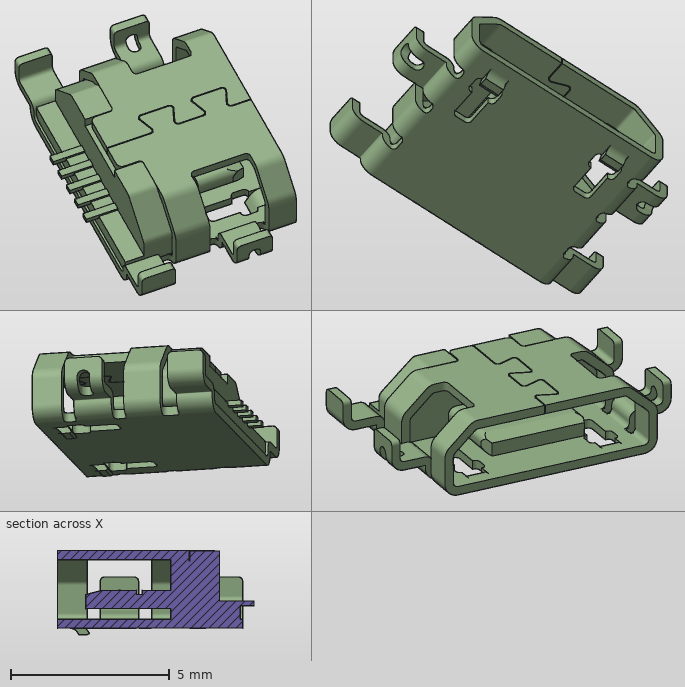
import cadquery as cq
import math


SHEET = 0.3
SHELL_LENGTH = 5.84
SHELL_HALF_WIDTH = 3.76
SHELL_HEIGHT = 2.46
SHOULDER_Z = 1.56
ROOF_HALF_WIDTH = 2.76
UPPER_BEND = 0.46
LOWER_BEND = 0.47
FLOOR_HALF_WIDTH = SHELL_HALF_WIDTH - LOWER_BEND
INNER_HALF_WIDTH = SHELL_HALF_WIDTH - SHEET
CORNER = 0.15

BAND_REAR = 1.69
WINDOW_REAR = 2.87
WINDOW_FRONT = 4.89
WINDOW_INNER_X = 2.18

LEG_OUTER_X = 4.95
LEG_TOP = 1.62
LEG_UNDERSIDE = 0.56
LEG_OUTER_BEND = 0.45
LEG_SHOULDER_BEND = 0.32
REAR_LEG = (0, 1.16)
FRONT_LEG = (3.28, 4.49)
LEG_HOLE_RADIUS = 0.2
LEG_HOLE_CENTER_X = 4.44
LEG_HOLE_CENTER_Z = 1.01

FLAP_HALF_WIDTH = 1.11
FLAP_REAR = 0.89
FLAP_TIP_RADIUS = 0.2
FLAP_ROOT_RADIUS = 0.13
FLAP_ROOT_SPREAD = 0.4
FLAP_CLEARANCE = 0.03

SEAM_X = 0.22
SEAM_HEAD_X = -0.58
SEAM_GAP = 0.03
SEAM_RADIUS = 0.12
DOVETAIL_CENTERS = (2.88, 4.69)
DOVETAIL_HEAD = 1.27
DOVETAIL_NECK = 0.67

TAB_X = (2.01, 2.71)
TAB_BEND_START = 5.43
TAB_TIP_Z = -0.2
TAB_INNER_BEND = 0.25
TAB_BEND_DEGREES = 55
TAB_TIP_BEVEL = (0.08, 0.04)
OPENING_FRONT = 4.97
OPENING_STEP = 4.39
OPENING_REAR = 3.37
WIDE_OPENING_X = (1.85, 2.86)
NARROW_OPENING_X = (2.03, 2.67)

BODY_FRONT = 2.28
BODY_REAR = 0.73
BODY_HEIGHT = SHELL_HEIGHT - 0.01
BODY_SHOULDER_Z = 1.38
BODY_ROOF_HALF_WIDTH = 2.24
BODY_UPPER_RADIUS = 0.3
BODY_LOWER_RADIUS = 0.26
LEDGE_REAR = 0.08
LEDGE_TOP = 0.8

TONGUE_HALF_WIDTH = 1.8
TONGUE_Z = (0.61, 1.21)
TONGUE_FRONT = 4.95
TONGUE_LOWER_RADIUS = 0.23
TONGUE_UPPER_RADIUS = 0.27
TONGUE_CORNER_CUT = (0.17, 0.43)
TONGUE_LEAD_IN = (0.14, 0.54)
GROOVE_Y = (3.17, 3.35)
GROOVE_FLOOR = 1.07

PIN_COUNT = 5
PIN_PITCH = 0.64
PIN_WIDTH = 0.26
PIN_Z = (0.71, 0.87)
PIN_REAR = -0.36

CLEAR = 0.495


def box(x, y, z):
    """Box spanning the three (low, high) ranges."""
    size = [high - low for low, high in (x, y, z)]
    return cq.Workplane("XY").box(*size, centered=False).translate((x[0], y[0], z[0]))


def both_sides(solid):
    """The solid together with its mirror image across the YZ plane."""
    return solid.union(solid.mirror("YZ"))


def outline(plane, points):
    """Closed outline through (u, v, corner radius) points, with tangent arcs at rounded corners."""
    stretches = []
    for i, (u, v, radius) in enumerate(points):
        if radius == 0:
            stretches.append([(u, v)])
            continue
        corner = cq.Vector(u, v, 0)
        before = (cq.Vector(*points[i - 1][:2], 0) - corner).normalized()
        after = (cq.Vector(*points[(i + 1) % len(points)][:2], 0) - corner).normalized()
        half_angle = before.getAngle(after) / 2
        setback = radius / math.tan(half_angle)
        bisector = (before + after).normalized()
        middle = corner + bisector * (radius / math.sin(half_angle) - radius)
        arc = (corner + before * setback, middle, corner + after * setback)
        stretches.append([(p.x, p.y) for p in arc])
    wire = cq.Workplane(plane).moveTo(*stretches[0][-1])
    for stretch in stretches[1:] + stretches[:1]:
        wire = wire.lineTo(*stretch[0])
        if len(stretch) > 1:
            wire = wire.threePointArc(*stretch[1:])
    return wire.close()


def along_y(points, rear, front):
    """Extrude an XZ outline from rear to front."""
    return outline("XZ", points).extrude(rear - front).translate((0, rear, 0))


def symmetric(right_half):
    """Complete a right-hand half outline with its mirror image in X."""
    return right_half + [(-u, v, radius) for u, v, radius in reversed(right_half)]


def shell_ring():
    """Closed tube of bent sheet."""
    slope = math.atan2(SHELL_HEIGHT - SHOULDER_Z, SHELL_HALF_WIDTH - ROOF_HALF_WIDTH)
    roof_inset = SHEET * math.tan(slope / 2)
    shoulder_drop = SHEET * math.tan((math.pi / 2 - slope) / 2)
    outer = symmetric([
        (SHELL_HALF_WIDTH, 0, LOWER_BEND),
        (SHELL_HALF_WIDTH, SHOULDER_Z, UPPER_BEND),
        (ROOF_HALF_WIDTH, SHELL_HEIGHT, UPPER_BEND),
    ])
    inner = symmetric([
        (INNER_HALF_WIDTH, SHEET, LOWER_BEND - SHEET),
        (INNER_HALF_WIDTH, SHOULDER_Z - shoulder_drop, UPPER_BEND - SHEET),
        (ROOF_HALF_WIDTH - roof_inset, SHELL_HEIGHT - SHEET, UPPER_BEND - SHEET),
    ])
    return along_y(outer, 0, SHELL_LENGTH).cut(along_y(inner, 0, SHELL_LENGTH))


def shell_cutouts():
    """Side windows, the open rear above the floor, and the notches beside the legs."""
    far_x = SHELL_HALF_WIDTH + CLEAR
    top = SHELL_HEIGHT + CLEAR
    window = box((WINDOW_INNER_X, far_x), (WINDOW_REAR, WINDOW_FRONT), (SHEET, top))
    cutouts = both_sides(window.edges("|Z and <X").fillet(CORNER))
    cutouts = cutouts.union(box((-far_x, far_x), (-CLEAR, BAND_REAR), (SHEET, top)))
    notches = ((REAR_LEG[1], BAND_REAR), (WINDOW_REAR, FRONT_LEG[0]), (FRONT_LEG[1], WINDOW_FRONT))
    for span in notches:
        notch = box((FLOOR_HALF_WIDTH, far_x), span, (-CLEAR, top))
        cutouts = cutouts.union(both_sides(notch.edges("|Z and <X").fillet(CORNER)))
    return cutouts


def flap_shape(clearance, rear, tip_radius, underside):
    """Flap reaching rearward from the roof edge, grown sideways by the clearance."""
    half_width = FLAP_HALF_WIDTH + clearance
    root_x = half_width + FLAP_ROOT_SPREAD
    points = symmetric([
        (root_x, BAND_REAR + SHEET, 0),
        (root_x, BAND_REAR, 0),
        (half_width, BAND_REAR, FLAP_ROOT_RADIUS - clearance),
        (half_width, rear, tip_radius),
    ])
    return outline("XY", points).extrude(SHELL_HEIGHT - underside).translate((0, 0, underside))


def roof_flap():
    return flap_shape(0, FLAP_REAR, FLAP_TIP_RADIUS, SHELL_HEIGHT - SHEET)


def flap_pocket():
    """Clearance for the flap, open at the rear of the body."""
    pocket = flap_shape(FLAP_CLEARANCE, BODY_REAR - CLEAR, 0, SHELL_HEIGHT - SHEET - FLAP_CLEARANCE)
    behind_roof = box((-SHELL_HALF_WIDTH, SHELL_HALF_WIDTH), (-CLEAR, BAND_REAR), (0, SHELL_HEIGHT))
    return pocket.intersect(behind_roof)


def roof_seam():
    """Narrow dovetailed gap between the two ends of the folded sheet."""
    path = [(SEAM_X, -CLEAR, 0)]
    for center in DOVETAIL_CENTERS:
        path += [
            (SEAM_X, center - DOVETAIL_NECK / 2, SEAM_RADIUS),
            (SEAM_HEAD_X, center - DOVETAIL_HEAD / 2, SEAM_RADIUS),
            (SEAM_HEAD_X, center + DOVETAIL_HEAD / 2, SEAM_RADIUS),
            (SEAM_X, center + DOVETAIL_NECK / 2, SEAM_RADIUS),
        ]
    path.append((SEAM_X, SHELL_LENGTH + CLEAR, 0))
    beyond_x = -ROOF_HALF_WIDTH
    loop = path + [(beyond_x, SHELL_LENGTH + CLEAR, 0), (beyond_x, -CLEAR, 0)]
    wide = outline("XY", loop).offset2D(SEAM_GAP / 2).extrude(SHEET)
    narrow = outline("XY", loop).offset2D(-SEAM_GAP / 2).extrude(SHEET)
    seam_zone = box((SEAM_HEAD_X - CLEAR, SEAM_X + CLEAR), (0, SHELL_LENGTH), (0, SHEET))
    return wide.cut(narrow).intersect(seam_zone).translate((0, 0, SHELL_HEIGHT - SHEET))


def leg(span):
    """Right-hand leg bent out of the floor and turned up at its end."""
    inner_x = LEG_OUTER_X - SHEET
    upper_z = LEG_UNDERSIDE + SHEET
    floor_x = FLOOR_HALF_WIDTH - SHEET
    profile = [
        (floor_x, 0, 0),
        (SHELL_HALF_WIDTH, 0, LOWER_BEND),
        (SHELL_HALF_WIDTH, LEG_UNDERSIDE, LEG_SHOULDER_BEND - SHEET),
        (LEG_OUTER_X, LEG_UNDERSIDE, LEG_OUTER_BEND),
        (LEG_OUTER_X, LEG_TOP, 0),
        (inner_x, LEG_TOP, 0),
        (inner_x, upper_z, LEG_OUTER_BEND - SHEET),
        (INNER_HALF_WIDTH, upper_z, LEG_SHOULDER_BEND),
        (INNER_HALF_WIDTH, SHEET, LOWER_BEND - SHEET),
        (floor_x, SHEET, 0),
    ]
    return along_y(profile, *span).edges("|X and >Z").fillet(CORNER)


def leg_hole():
    """Round-ended slot that wraps around the outer bend of the front leg."""
    center_y = sum(FRONT_LEG) / 2
    far_x = LEG_OUTER_X + CLEAR
    width = (center_y - LEG_HOLE_RADIUS, center_y + LEG_HOLE_RADIUS)
    height = (LEG_UNDERSIDE - SHEET, LEG_HOLE_CENTER_Z)
    round_end = (
        cq.Workplane("XY", origin=(LEG_HOLE_CENTER_X, center_y, height[0]))
        .circle(LEG_HOLE_RADIUS)
        .extrude(height[1] - height[0])
    )
    round_top = (
        cq.Workplane("YZ", origin=(LEG_OUTER_X - SHEET, center_y, LEG_HOLE_CENTER_Z))
        .circle(LEG_HOLE_RADIUS)
        .extrude(SHEET + CLEAR)
    )
    return box((LEG_HOLE_CENTER_X, far_x), width, height).union(round_end).union(round_top)


def tab_opening():
    """Floor opening behind a spring tab, including the place of the tab itself."""
    depth = (-CLEAR, SHEET + CLEAR)
    wide = box(WIDE_OPENING_X, (OPENING_STEP, OPENING_FRONT), depth).edges("|Z").fillet(CORNER)
    narrow = box(NARROW_OPENING_X, (OPENING_REAR, OPENING_STEP + CORNER), depth)
    narrow = narrow.edges("|Z and <Y").fillet(CORNER)
    return wide.union(narrow).union(box(TAB_X, (OPENING_FRONT - CORNER, TAB_BEND_START), depth))


def spring_tab():
    """Tab bent steeply downward, with its tip cut flat."""
    bend = math.radians(TAB_BEND_DEGREES)
    bend_y = TAB_BEND_START - (SHEET + TAB_INNER_BEND) * math.tan(bend / 2)
    lower_bend_y = TAB_BEND_START - TAB_INNER_BEND * math.tan(bend / 2)
    bevel_y, bevel_z = TAB_TIP_BEVEL
    tip_corner_z = TAB_TIP_Z + bevel_z
    tip_corner_y = bend_y - (SHEET - tip_corner_z) / math.tan(bend)
    profile = [
        (TAB_BEND_START + SHEET, SHEET, 0),
        (bend_y, SHEET, SHEET + TAB_INNER_BEND),
        (tip_corner_y, tip_corner_z, 0),
        (tip_corner_y + bevel_y, TAB_TIP_Z, 0),
        (lower_bend_y + TAB_TIP_Z / math.tan(bend), TAB_TIP_Z, 0),
        (lower_bend_y, 0, TAB_INNER_BEND),
        (TAB_BEND_START + SHEET, 0, 0),
    ]
    return outline("YZ", profile).extrude(TAB_X[1] - TAB_X[0]).translate((TAB_X[0], 0, 0))


def shell():
    metal = shell_ring().cut(shell_cutouts()).union(roof_flap()).cut(roof_seam())
    metal = metal.cut(both_sides(tab_opening())).union(both_sides(spring_tab()))
    metal = metal.union(both_sides(leg(REAR_LEG)))
    return metal.union(both_sides(leg(FRONT_LEG).cut(leg_hole())))


def tongue():
    """Contact carrier reaching from the body toward the mouth."""
    low, high = TONGUE_Z
    profile = symmetric([
        (TONGUE_HALF_WIDTH, low, TONGUE_LOWER_RADIUS),
        (TONGUE_HALF_WIDTH, high, TONGUE_UPPER_RADIUS),
    ])
    blade = along_y(profile, BODY_FRONT, TONGUE_FRONT)
    corner_x, corner_y = TONGUE_CORNER_CUT
    plan = symmetric([
        (TONGUE_HALF_WIDTH, BODY_FRONT, 0),
        (TONGUE_HALF_WIDTH, TONGUE_FRONT - corner_y, 0),
        (TONGUE_HALF_WIDTH - corner_x, TONGUE_FRONT, 0),
    ])
    blade = blade.intersect(outline("XY", plan).extrude(SHELL_HEIGHT))
    drop, length = TONGUE_LEAD_IN
    nose = [(TONGUE_FRONT - length, high, 0), (TONGUE_FRONT, high, 0), (TONGUE_FRONT, high - drop, 0)]
    blade = blade.cut(outline("YZ", nose).extrude(TONGUE_HALF_WIDTH, both=True))
    full_width = (-TONGUE_HALF_WIDTH, TONGUE_HALF_WIDTH)
    return blade.cut(box(full_width, GROOVE_Y, (GROOVE_FLOOR, high)))


def body():
    """Plastic block stepped down under the roof, with the flap pocket, rear ledge and tongue."""
    section = symmetric([
        (INNER_HALF_WIDTH, SHEET, BODY_LOWER_RADIUS),
        (INNER_HALF_WIDTH, BODY_SHOULDER_Z, BODY_UPPER_RADIUS),
        (BODY_ROOF_HALF_WIDTH, BODY_HEIGHT, BODY_UPPER_RADIUS),
    ])
    block = along_y(section, LEDGE_REAR, BODY_FRONT)
    full_width = (-SHELL_HALF_WIDTH, SHELL_HALF_WIDTH)
    block = block.cut(box(full_width, (LEDGE_REAR, BODY_REAR), (LEDGE_TOP, SHELL_HEIGHT)))
    under_roof = box(full_width, (BAND_REAR, BODY_FRONT), (SHELL_HEIGHT - SHEET, SHELL_HEIGHT))
    block = block.cut(under_roof)
    return block.cut(flap_pocket()).union(tongue())


def pins():
    row = cq.Workplane("XY")
    for i in range(PIN_COUNT):
        left = (i - (PIN_COUNT - 1) / 2) * PIN_PITCH - PIN_WIDTH / 2
        row = row.union(box((left, left + PIN_WIDTH), (PIN_REAR, BODY_REAR + CLEAR), PIN_Z))
    return row


result = shell().union(body()).union(pins())